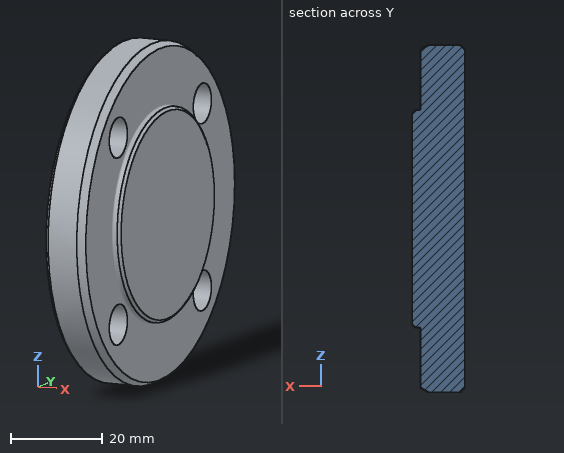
import cadquery as cq
import math

overall_length = 11.5
disc_diameter = 76.0
disc_thickness = 9.7
boss_diameter = 47.6

rim_chamfer_depth = 1.0
back_chamfer_length = 1.0
front_chamfer_angle = 30.0
front_chamfer_length = rim_chamfer_depth / math.tan(math.radians(front_chamfer_angle))

boss_root_radius = 0.45
boss_edge_chamfer = 0.65

hole_count = 4
hole_diameter = 9.0
bolt_circle_diameter = 59.0
first_hole_angle = 45.0

ARC_MIDPOINT = math.sqrt(0.5)


def make_body():
    """Revolve the half section, drawn as (axial X, radial Y), about the X axis."""
    disc_radius = disc_diameter / 2
    face_radius = disc_radius - rim_chamfer_depth
    boss_radius = boss_diameter / 2

    root_centre_x = disc_thickness + boss_root_radius
    root_centre_y = boss_radius + boss_root_radius
    root_midpoint = (
        root_centre_x - boss_root_radius * ARC_MIDPOINT,
        root_centre_y - boss_root_radius * ARC_MIDPOINT,
    )

    section = (
        cq.Workplane("XY")
        .moveTo(0, 0)
        .lineTo(0, face_radius)
        .lineTo(back_chamfer_length, disc_radius)
        .lineTo(disc_thickness - front_chamfer_length, disc_radius)
        .lineTo(disc_thickness, face_radius)
        .lineTo(disc_thickness, root_centre_y)
        .threePointArc(root_midpoint, (root_centre_x, boss_radius))
        .lineTo(overall_length - boss_edge_chamfer, boss_radius)
        .lineTo(overall_length, boss_radius - boss_edge_chamfer)
        .lineTo(overall_length, 0)
        .close()
    )
    return section.revolve(360, (0, 0, 0), (1, 0, 0))


def make_bolt_holes():
    """Cylinders through the disc, evenly spaced on the bolt circle."""
    return (
        cq.Workplane("YZ")
        .polarArray(bolt_circle_diameter / 2, first_hole_angle, 360, hole_count)
        .circle(hole_diameter / 2)
        .extrude(disc_thickness)
    )


result = make_body().cut(make_bolt_holes())